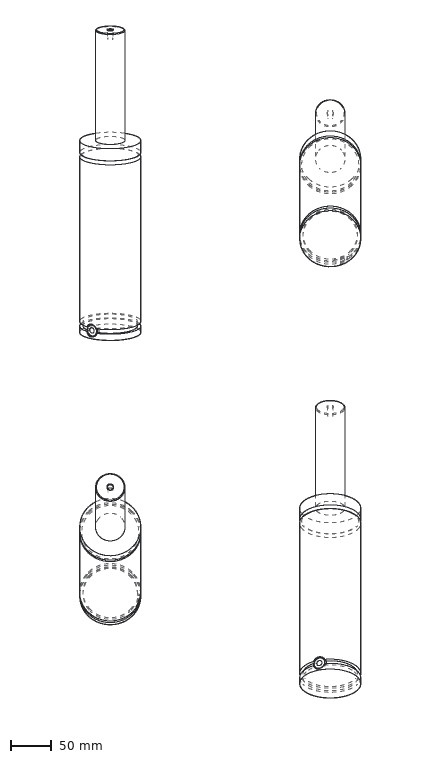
import cadquery as cq

total_height = 385.0
body_diameter = 75.0
body_height = 244.0
rod_diameter = 36.0
rod_chamfer = 1.0

base_flange_height = 8.0
base_groove_width = 5.8
base_groove_depth = 4.2
upper_groove_center_z = 226.0
upper_groove_radius = 2.5

rod_hole_diameter = 7.0
rod_hole_depth = 11.5
rod_hole_chamfer = 0.8
drill_tip_height = 2.0

port_diameter = 16.0
port_center_z = 10.5
port_floor_y = -30.8
plug_face_diameter = 14.0
plug_face_y = -36.0
dimple_diameter = 7.0
dimple_depth = 1.0

body_radius = body_diameter / 2
rod_radius = rod_diameter / 2


def port_cylinder(diameter, inner_y, outer_y):
    """Cylinder on the port axis between two Y positions."""
    plane = cq.Plane(origin=(0, inner_y, port_center_z), xDir=(1, 0, 0), normal=(0, -1, 0))
    return cq.Workplane(plane).circle(diameter / 2).extrude(inner_y - outer_y)


def make_turned_body():
    """Cylinder body with both grooves and the piston rod, as one revolved profile."""
    groove_floor_radius = body_radius - base_groove_depth
    groove_top_z = base_flange_height + base_groove_width
    return (
        cq.Workplane("XZ")
        .lineTo(body_radius, 0)
        .lineTo(body_radius, base_flange_height)
        .lineTo(groove_floor_radius, base_flange_height)
        .lineTo(groove_floor_radius, groove_top_z)
        .lineTo(body_radius, groove_top_z)
        .lineTo(body_radius, upper_groove_center_z - upper_groove_radius)
        .threePointArc(
            (body_radius - upper_groove_radius, upper_groove_center_z),
            (body_radius, upper_groove_center_z + upper_groove_radius),
        )
        .lineTo(body_radius, body_height)
        .lineTo(rod_radius, body_height)
        .lineTo(rod_radius, total_height - rod_chamfer)
        .lineTo(rod_radius - rod_chamfer, total_height)
        .lineTo(0, total_height)
        .close()
        .revolve(360, (0, 0, 0), (0, 1, 0))
    )


def make_rod_hole():
    """Chamfered blind hole with a conical drill tip."""
    hole_radius = rod_hole_diameter / 2
    hole_floor_z = total_height - rod_hole_depth
    return (
        cq.Workplane("XZ")
        .moveTo(0, hole_floor_z - drill_tip_height)
        .lineTo(hole_radius, hole_floor_z)
        .lineTo(hole_radius, total_height - rod_hole_chamfer)
        .lineTo(hole_radius + rod_hole_chamfer, total_height)
        .lineTo(0, total_height)
        .close()
        .revolve(360, (0, 0, 0), (0, 1, 0))
    )


def add_port(body):
    """Sink the port bore, then fit the plug and its dimple."""
    bore = port_cylinder(port_diameter, port_floor_y, -body_radius)
    plug_chamfer = (port_diameter - plug_face_diameter) / 2
    plug = port_cylinder(port_diameter, port_floor_y, plug_face_y).faces("<Y").chamfer(plug_chamfer)
    dimple = cq.Workplane(
        cq.Solid.makeCone(
            dimple_diameter / 2,
            0,
            dimple_depth,
            pnt=cq.Vector(0, plug_face_y, port_center_z),
            dir=cq.Vector(0, 1, 0),
        )
    )
    return body.cut(bore).union(plug).cut(dimple)


result = add_port(make_turned_body().cut(make_rod_hole()))